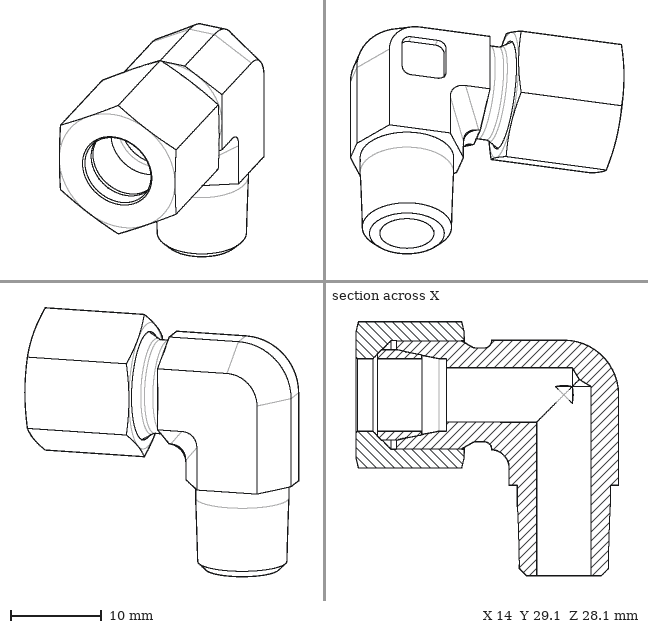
import cadquery as cq
import math


overall_length = 29.05

block_width = 12.0
cut_width = 3.0
tube_arm_end = 8.0
pipe_arm_end = 10.0
inner_fillet = 2.0
bore_dia = 6.0
bore_overrun = 0.93
drill_tip_angle = 118

recess_side = 5.0
recess_corner = 1.0
recess_depth = 1.0
recess_offset = 0.5

collar_dia = 10.35
collar_length = 1.98
taper_ratio = 1 / 16
pipe_end = 20.0
pipe_chamfer = 0.8

neck_dia = 10.4
neck_fillet = 0.78
runout_start = 9.74
runout_angle = 30
thread_dia = 12.0
stub_end = 18.5
tube_dia = 8.0
socket_bottom = 13.0
cone_mouth_dia = 10.0
cone_half_angle = 12

nut_flats = 14.0
nut_length = 12.0
nut_chamfer_angle = 15
nut_land = 1.9
mouth_chamfer = 0.2

ring_gap = 0.5
ring_nose = 15.7

half_width = block_width / 2
tube_radius = tube_dia / 2
thread_radius = thread_dia / 2
hex_corner = block_width / math.sqrt(3)
flank_half = hex_corner / 2
cut_half = cut_width / 2
cut_height = hex_corner - cut_half / math.sqrt(3)
cone_slope = math.tan(math.radians(cone_half_angle))
nut_front = overall_length - cut_height
seat_start = nut_front - nut_land


def revolve_on_tube_axis(outline):
    """Close a half section and revolve it about the tube axis."""
    return outline.close().revolve(360, (0, 0, 0), (0, 1, 0)).rotate((0, 0, 0), (1, 0, 0), 180)


def profile():
    """Empty half section, ready for points of (radius, distance from the origin along -Y)."""
    return cq.Workplane("XY")


def make_slab(section, inside_corner):
    """Slice of the elbow block with a symmetric section in X and height, rounded on its inside edge."""
    tube_arm = cq.Workplane("XZ").polyline(section).close().extrude(tube_arm_end + inner_fillet)
    pipe_arm = cq.Workplane("XY").polyline(section).close().extrude(-pipe_arm_end - inner_fillet)
    upper_half = [(x, max(height, 0)) for x, height in section]
    bend = cq.Workplane("XZ").polyline(upper_half).close().revolve(90, (0, 0, 0), (-1, 0, 0))
    arms = tube_arm.union(pipe_arm)
    arms = arms.edges(cq.selectors.NearestToPointSelector(inside_corner)).fillet(inner_fillet)
    return arms.union(bend)


def make_block():
    """Centre slab between the cut corners and a tapering slab on each side of it."""
    centre_section = [
        (-cut_half, -cut_height),
        (cut_half, -cut_height),
        (cut_half, cut_height),
        (-cut_half, cut_height),
    ]
    block = make_slab(centre_section, (0, -cut_height, -cut_height))
    slab_middle = (cut_half + half_width) / 2
    inside_middle = -(cut_height + flank_half) / 2
    for side in (-1, 1):
        side_section = [
            (side * cut_half, -cut_height),
            (side * half_width, -flank_half),
            (side * half_width, flank_half),
            (side * cut_half, cut_height),
        ]
        inside_corner = (side * slab_middle, inside_middle, inside_middle)
        block = block.union(make_slab(side_section, inside_corner))

    trim = (
        cq.Workplane("XY")
        .box(block_width, tube_arm_end + block_width, pipe_arm_end + block_width)
        .translate((0, (block_width - tube_arm_end) / 2, (block_width - pipe_arm_end) / 2))
    )
    return block.intersect(trim)


def make_pipe_end():
    chamfer_top = pipe_end - pipe_chamfer
    taper_start = pipe_arm_end + collar_length
    taper_end_radius = (collar_dia - taper_ratio * (chamfer_top - taper_start)) / 2
    return (
        cq.Workplane("XZ")
        .moveTo(0, 0)
        .lineTo(collar_dia / 2, 0)
        .lineTo(collar_dia / 2, -taper_start)
        .lineTo(taper_end_radius, -chamfer_top)
        .lineTo(taper_end_radius - pipe_chamfer, -pipe_end)
        .lineTo(0, -pipe_end)
        .close()
        .revolve(360, (0, 0, 0), (0, 1, 0))
    )


def make_tube_end():
    angle = math.radians(runout_angle)
    neck_radius = neck_dia / 2

    def runout_arc(turn):
        return (
            neck_radius + neck_fillet * (1 - math.cos(turn)),
            runout_start + neck_fillet * math.sin(turn),
        )

    cone_start = runout_arc(angle)
    cone_end = cone_start[1] + (thread_radius - cone_start[0]) / math.tan(angle)
    fillet_mid = neck_fillet * (1 - math.sqrt(0.5))
    return revolve_on_tube_axis(
        profile()
        .moveTo(0, 0)
        .lineTo(neck_radius + neck_fillet, 0)
        .lineTo(neck_radius + neck_fillet, tube_arm_end)
        .threePointArc(
            (neck_radius + fillet_mid, tube_arm_end + fillet_mid),
            (neck_radius, tube_arm_end + neck_fillet),
        )
        .lineTo(neck_radius, runout_start)
        .threePointArc(runout_arc(angle / 2), cone_start)
        .lineTo(thread_radius, cone_end)
        .lineTo(thread_radius, stub_end)
        .lineTo(0, stub_end)
    )


def make_drilling(depth):
    """Drilling along -Y from beyond the crossing, with its pointed end towards +Y."""
    radius = bore_dia / 2
    tip = radius / math.tan(math.radians(drill_tip_angle / 2))
    return revolve_on_tube_axis(
        profile()
        .moveTo(0, -bore_overrun - tip)
        .lineTo(radius, -bore_overrun)
        .lineTo(radius, depth)
        .lineTo(0, depth)
    )


def make_ring_socket():
    """Tube socket with the conical mouth that takes the cutting ring."""
    cone_depth = (cone_mouth_dia - tube_dia) / 2 / cone_slope
    return revolve_on_tube_axis(
        profile()
        .moveTo(0, socket_bottom)
        .lineTo(tube_radius, socket_bottom)
        .lineTo(tube_radius, stub_end - cone_depth)
        .lineTo(cone_mouth_dia / 2, stub_end)
        .lineTo(0, stub_end)
    )


def make_recess():
    return (
        cq.Workplane("YZ", origin=(-half_width, -recess_offset, -recess_offset))
        .rect(recess_side, recess_side)
        .extrude(recess_depth)
        .edges("|X")
        .fillet(recess_corner)
    )


def make_elbow():
    tube_drilling = make_drilling(stub_end)
    pipe_drilling = make_drilling(pipe_end).rotate((0, 0, 0), (1, 0, 0), 90)
    return (
        make_block()
        .union(make_pipe_end())
        .union(make_tube_end())
        .cut(tube_drilling)
        .cut(pipe_drilling)
        .cut(make_ring_socket())
        .cut(make_recess())
    )


def make_nut():
    nut_back = nut_front - nut_length
    hex_diameter = nut_flats * 2 / math.sqrt(3)
    hexagon = (
        cq.Workplane("XZ", origin=(0, -nut_back, 0))
        .transformed(rotate=(0, 0, 30))
        .polygon(6, hex_diameter)
        .extrude(nut_length)
    )
    corner_radius = hex_diameter / 2
    face_radius = nut_flats / 2
    chamfer = (corner_radius - face_radius) * math.tan(math.radians(nut_chamfer_angle))
    envelope = revolve_on_tube_axis(
        profile()
        .moveTo(0, nut_back)
        .lineTo(face_radius, nut_back)
        .lineTo(corner_radius, nut_back + chamfer)
        .lineTo(corner_radius, nut_front - chamfer)
        .lineTo(face_radius, nut_front)
        .lineTo(0, nut_front)
    )
    cavity = revolve_on_tube_axis(
        profile()
        .moveTo(0, nut_back)
        .lineTo(thread_radius, nut_back)
        .lineTo(thread_radius, seat_start - (thread_radius - tube_radius))
        .lineTo(tube_radius, seat_start)
        .lineTo(tube_radius, nut_front - mouth_chamfer)
        .lineTo(tube_radius + mouth_chamfer, nut_front)
        .lineTo(0, nut_front)
    )
    return hexagon.intersect(envelope).cut(cavity)


def make_ring():
    """Cutting ring between the nut's 45 degree seat and the elbow's conical mouth."""
    ring_radius = cone_mouth_dia / 2
    return revolve_on_tube_axis(
        profile()
        .moveTo(tube_radius, ring_nose)
        .lineTo(ring_radius - (stub_end - ring_nose) * cone_slope, ring_nose)
        .lineTo(ring_radius, stub_end)
        .lineTo(ring_radius, seat_start - (ring_radius - tube_radius))
        .lineTo(tube_radius + ring_gap, seat_start - ring_gap)
        .lineTo(tube_radius, seat_start - ring_gap)
    )


elbow = make_elbow()
nut = make_nut()
ring = make_ring()

result = cq.Compound.makeCompound([body.solids().val() for body in (elbow, nut, ring)])